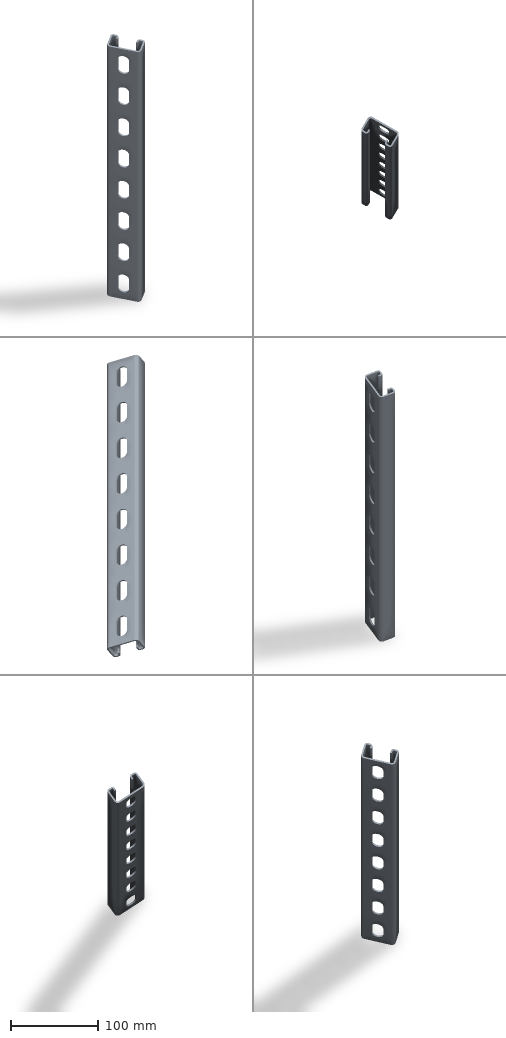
import cadquery as cq

length = 400.0
width = 41.0
depth = 21.0
thickness = 2.0
opening = 22.0
lip_depth = 6.0
back_bend_radius = 4.5
lip_bend_radius = 3.0

slot_count = 8
slot_width = 13.5
slot_length = 28.0
slot_pitch = length / slot_count

back_y = -depth / 2
front_y = depth / 2
side_x = width / 2
lip_x = opening / 2
lip_end_y = front_y - lip_depth


def half_channel():
    """Thin-walled +X half of the section, extruded over the full length."""
    back_inner_radius = back_bend_radius - thickness
    lip_inner_radius = lip_bend_radius - thickness
    back_bend_y = back_y + back_bend_radius
    back_bend_x = side_x - back_bend_radius
    lip_bend_y = front_y - lip_bend_radius
    outer_lip_bend_x = side_x - lip_bend_radius
    inner_lip_bend_x = lip_x + lip_bend_radius
    return (
        cq.Workplane("XY", origin=(0, 0, -length / 2))
        .moveTo(0, back_y)
        .lineTo(back_bend_x, back_y)
        .radiusArc((side_x, back_bend_y), -back_bend_radius)
        .lineTo(side_x, lip_bend_y)
        .radiusArc((outer_lip_bend_x, front_y), -lip_bend_radius)
        .lineTo(inner_lip_bend_x, front_y)
        .radiusArc((lip_x, lip_bend_y), -lip_bend_radius)
        .lineTo(lip_x, lip_end_y)
        .lineTo(lip_x + thickness, lip_end_y)
        .lineTo(lip_x + thickness, lip_bend_y)
        .radiusArc((inner_lip_bend_x, front_y - thickness), lip_inner_radius)
        .lineTo(outer_lip_bend_x, front_y - thickness)
        .radiusArc((side_x - thickness, lip_bend_y), lip_inner_radius)
        .lineTo(side_x - thickness, back_bend_y)
        .radiusArc((back_bend_x, back_y + thickness), back_inner_radius)
        .lineTo(0, back_y + thickness)
        .close()
        .extrude(length)
    )


def slots():
    """Evenly spaced slot cutters, long side along Z, through the back only."""
    return (
        cq.Workplane("XZ", origin=(0, back_y, 0))
        .rarray(slot_pitch, slot_pitch, 1, slot_count)
        .slot2D(slot_length, slot_width, 90)
        .extrude(2 * thickness, both=True)
    )


right_half = half_channel()
channel = right_half.union(right_half.mirror("YZ")).clean()
result = channel.cut(slots())